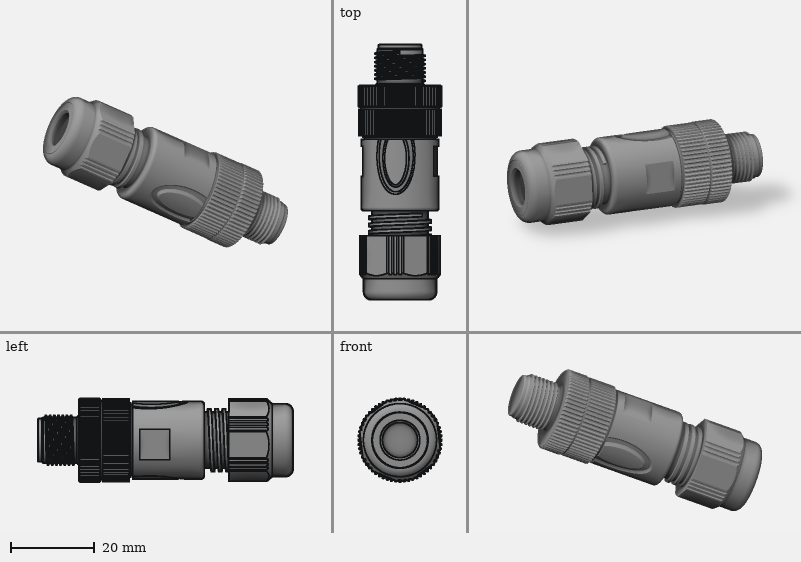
import cadquery as cq
import math


TOTAL_LENGTH = 60.94
CAP_TOP = 5.05
NUT_CHAMFER_TOP = 6.35
NUT_TOP = 15.35
BODY_BOTTOM = 21.22
BODY_TOP = 38.3
COLLAR_STEP = 38.75
REAR_RING_BOTTOM = 39.15
REAR_RING_TOP = 45.5
FRONT_RING_BOTTOM = 45.9
FRONT_RING_TOP = 51.2
PLUG_THREAD_TOP = 59.0
PLUG_LEAD_BOTTOM = 59.65

CAP_RADIUS = 8.73
CAP_FILLET = 1.95
SEAL_GROOVE_RADIUS = 6.65
SEAL_GROOVE_WIDTH = 0.15
SEAL_GROOVE_DEPTH = 0.2
CABLE_HOLE_MOUTH_RADIUS = 4.75
CABLE_HOLE_RADIUS = 4.2
CABLE_HOLE_MOUTH_DEPTH = 0.55
CABLE_HOLE_DEPTH = 2.2
NUT_RADIUS = 9.85
NUT_ACROSS_FLATS = 18.7
NUT_SIDES = 6
GRIP_GROOVES_PER_CORNER = 3
GRIP_GROOVE_RADIUS = 0.35
GRIP_GROOVE_ANGLE = 7.0

TURN_ANGLE = 6.8
BODY_RADIUS = 9.3
BODY_FILLET = 0.85
FLAT_LENGTH = 7.2
FLAT_BOTTOM = 29.45
FLAT_DISTANCE = 8.56
COLLAR_RADIUS = 8.55
COLLAR_RIM_RADIUS = 8.9

RECESS_CENTRE = 34.4
RECESS_HALF_WIDTH = 4.1
RECESS_HALF_LENGTH = 8.65
PLATE_CENTRE = 33.8
PLATE_HALF_WIDTH = 3.14
PLATE_HALF_LENGTH = 6.9
RECESS_DEPTH = 0.65
RECESS_BEVEL = 0.55

FRONT_RING_RADIUS = 10.0
REAR_RING_RADIUS = 9.87
KNURL_COUNT = 60
KNURL_DEPTH = 0.42
CREST_SHARE = 0.24
ROOT_SHARE = 0.3
RING_CHAMFER = 0.35
RING_GROOVE_RADIUS = 9.4

GLAND_CORE_RADIUS = 6.73
GLAND_THREAD_RADIUS = 7.5
GLAND_PITCH = 1.75
GLAND_THREAD_TOP = 20.25
GLAND_THREAD_END_ANGLE = 45
GLAND_RIDGE_ROOT = 0.95
GLAND_RIDGE_CREST = 0.75
PLUG_CORE_RADIUS = 5.46
PLUG_THREAD_RADIUS = 6.0
PLUG_PITCH = 1.0
PLUG_THREAD_BOTTOM = 52.2
PLUG_THREAD_END_ANGLE = 90
PLUG_RIDGE_ROOT = 0.75
PLUG_RIDGE_CREST = 0.15
PLUG_LEAD_RADIUS = 5.2
PLUG_LEAD_BEVEL = 0.35
PLUG_TIP_FILLET = 0.35
PLUG_FLARE = 0.4
THREAD_OVERLAP = 0.15


def along_axis(bottom):
    """Workplane across the axis at y = `bottom`; negative extrusions run towards +Y."""
    return cq.Workplane("XZ", origin=(0, bottom, 0))


def cylinder(radius, bottom, top):
    return along_axis(bottom).circle(radius).extrude(bottom - top)


def turned(shape, angle):
    """Turn about the axis, counter-clockwise as seen from the gland end."""
    return shape.rotate((0, 0, 0), (0, 1, 0), -angle)


def thread_ridge(core_radius, crest_radius, pitch, root_width, crest_width, bottom, top, end_angle):
    """Right-handed helical ridge whose middle runs from `bottom` to `top`.

    It ends at `end_angle`, measured from +X towards +Z.
    """
    inner = core_radius - THREAD_OVERLAP
    helix = cq.Wire.makeHelix(pitch, top - bottom, inner)
    ridge = (
        cq.Workplane("XZ")
        .polyline([
            (inner, -root_width / 2),
            (crest_radius, -crest_width / 2),
            (crest_radius, crest_width / 2),
            (inner, root_width / 2),
        ])
        .close()
        .sweep(cq.Workplane(helix), isFrenet=True)
    )
    ridge = ridge.rotate((0, 0, 0), (1, 0, 0), -90).translate((0, bottom, 0))
    winding_angle = 360 * (top - bottom) / pitch
    return turned(ridge, end_angle + winding_angle)


def gland_cap():
    cap = cylinder(CAP_RADIUS, 0, CAP_TOP).faces("<Y").edges().fillet(CAP_FILLET)
    groove = (
        along_axis(0)
        .circle(SEAL_GROOVE_RADIUS + SEAL_GROOVE_WIDTH / 2)
        .circle(SEAL_GROOVE_RADIUS - SEAL_GROOVE_WIDTH / 2)
        .extrude(-SEAL_GROOVE_DEPTH)
    )
    hole = (
        cq.Workplane("XY")
        .polyline([
            (0, 0),
            (CABLE_HOLE_MOUTH_RADIUS, 0),
            (CABLE_HOLE_RADIUS, CABLE_HOLE_MOUTH_DEPTH),
            (CABLE_HOLE_RADIUS, CABLE_HOLE_DEPTH),
            (0, CABLE_HOLE_DEPTH),
        ])
        .close()
        .revolve(360, (0, 0, 0), (0, 1, 0))
    )
    return cap.cut(groove).cut(hole)


def clamping_nut():
    """Hexagon with round corners; each corner carries grip grooves along the axis."""
    blank = (
        cq.Workplane("XY")
        .polyline([
            (0, CAP_TOP),
            (CAP_RADIUS, CAP_TOP),
            (NUT_RADIUS, NUT_CHAMFER_TOP),
            (NUT_RADIUS, NUT_TOP),
            (0, NUT_TOP),
        ])
        .close()
        .revolve(360, (0, 0, 0), (0, 1, 0))
    )
    corner_distance = NUT_ACROSS_FLATS / math.cos(math.pi / NUT_SIDES)
    hexagon = along_axis(CAP_TOP).polygon(NUT_SIDES, corner_distance).extrude(CAP_TOP - NUT_TOP)
    corner_step = 360 / NUT_SIDES
    nut = blank.intersect(hexagon.rotate((0, 0, 0), (0, 1, 0), corner_step / 2))
    centres = []
    for corner in range(NUT_SIDES):
        for groove in range(GRIP_GROOVES_PER_CORNER):
            offset = (groove - (GRIP_GROOVES_PER_CORNER - 1) / 2) * GRIP_GROOVE_ANGLE
            angle = math.radians((corner + 0.5) * corner_step + offset)
            centres.append((NUT_RADIUS * math.cos(angle), NUT_RADIUS * math.sin(angle)))
    grooves = (
        along_axis(CAP_TOP)
        .pushPoints(centres)
        .circle(GRIP_GROOVE_RADIUS)
        .extrude(CAP_TOP - NUT_TOP)
    )
    return turned(nut.cut(grooves), TURN_ANGLE)


def emblem_prism(centre, half_width, half_length):
    return (
        cq.Workplane("XY", origin=(0, centre, 0))
        .ellipse(half_width, half_length)
        .extrude(2 * BODY_RADIUS)
    )


def is_emblem_rim(edge):
    """True for the oval edges that lie on the outer surface of the body."""
    point = edge.positionAt(0.5)
    on_surface = abs(math.hypot(point.x, point.z) - BODY_RADIUS) < RECESS_DEPTH / 4
    return on_surface and abs(point.x) < RECESS_HALF_WIDTH


def connector_body():
    body = cylinder(BODY_RADIUS, BODY_BOTTOM, BODY_TOP).faces("<Y").edges().fillet(BODY_FILLET)
    flat_depth = BODY_RADIUS - FLAT_DISTANCE
    for side in (-1, 1):
        flat = cq.Workplane("XY").box(flat_depth, FLAT_LENGTH, 2 * BODY_RADIUS)
        flat_centre = side * (FLAT_DISTANCE + flat_depth / 2)
        body = body.cut(flat.translate((flat_centre, FLAT_BOTTOM + FLAT_LENGTH / 2, 0)))
    plate = emblem_prism(PLATE_CENTRE, PLATE_HALF_WIDTH, PLATE_HALF_LENGTH)
    recess = (
        emblem_prism(RECESS_CENTRE, RECESS_HALF_WIDTH, RECESS_HALF_LENGTH)
        .cut(plate)
        .cut(cylinder(BODY_RADIUS - RECESS_DEPTH, 0, TOTAL_LENGTH))
    )
    for side_angle in (0, 180):
        body = body.cut(turned(recess, side_angle))
    rims = [edge for edge in body.edges("%BSPLINE").vals() if is_emblem_rim(edge)]
    body = body.newObject(rims).chamfer(RECESS_BEVEL)
    return turned(body, TURN_ANGLE)


def knurled_ring(radius, bottom, top):
    root = radius - KNURL_DEPTH
    step = 2 * math.pi / KNURL_COUNT
    profile = []
    for tooth in range(KNURL_COUNT):
        for share, distance in (
            (-CREST_SHARE / 2, radius),
            (CREST_SHARE / 2, radius),
            (0.5 - ROOT_SHARE / 2, root),
            (0.5 + ROOT_SHARE / 2, root),
        ):
            angle = (tooth + share) * step
            profile.append((distance * math.cos(angle), distance * math.sin(angle)))
    return along_axis(bottom).polyline(profile).close().extrude(bottom - top)


def knurled_rings():
    blank = cylinder(FRONT_RING_RADIUS, FRONT_RING_BOTTOM, FRONT_RING_TOP)
    envelope = blank.edges().chamfer(RING_CHAMFER)
    front = knurled_ring(FRONT_RING_RADIUS, FRONT_RING_BOTTOM, FRONT_RING_TOP).intersect(envelope)
    rear = knurled_ring(REAR_RING_RADIUS, REAR_RING_BOTTOM, REAR_RING_TOP)
    groove_floor = cylinder(RING_GROOVE_RADIUS, REAR_RING_TOP, FRONT_RING_BOTTOM)
    collar = cylinder(COLLAR_RADIUS, BODY_TOP, COLLAR_STEP)
    collar_rim = cylinder(COLLAR_RIM_RADIUS, COLLAR_STEP, REAR_RING_BOTTOM)
    return front.union(groove_floor).union(rear).union(collar_rim).union(collar)


def gland_thread():
    core = cylinder(GLAND_CORE_RADIUS, NUT_TOP, BODY_BOTTOM)
    ridge = thread_ridge(
        GLAND_CORE_RADIUS, GLAND_THREAD_RADIUS, GLAND_PITCH,
        GLAND_RIDGE_ROOT, GLAND_RIDGE_CREST, NUT_TOP - GLAND_PITCH / 2, GLAND_THREAD_TOP,
        GLAND_THREAD_END_ANGLE,
    )
    return core.union(ridge)


def threaded_plug():
    core = (
        cq.Workplane("XY")
        .polyline([
            (0, FRONT_RING_TOP),
            (PLUG_CORE_RADIUS + PLUG_FLARE, FRONT_RING_TOP),
            (PLUG_CORE_RADIUS, FRONT_RING_TOP + PLUG_FLARE),
            (PLUG_CORE_RADIUS, PLUG_LEAD_BOTTOM),
            (PLUG_LEAD_RADIUS, PLUG_LEAD_BOTTOM + PLUG_LEAD_BEVEL),
            (PLUG_LEAD_RADIUS, TOTAL_LENGTH),
            (0, TOTAL_LENGTH),
        ])
        .close()
        .revolve(360, (0, 0, 0), (0, 1, 0))
        .faces(">Y").edges().fillet(PLUG_TIP_FILLET)
    )
    ridge = thread_ridge(
        PLUG_CORE_RADIUS, PLUG_THREAD_RADIUS, PLUG_PITCH,
        PLUG_RIDGE_ROOT, PLUG_RIDGE_CREST, PLUG_THREAD_BOTTOM, PLUG_THREAD_TOP,
        PLUG_THREAD_END_ANGLE,
    )
    return core.union(ridge)


result = (
    gland_cap()
    .union(clamping_nut())
    .union(gland_thread())
    .union(connector_body())
    .union(knurled_rings())
    .union(threaded_plug())
)